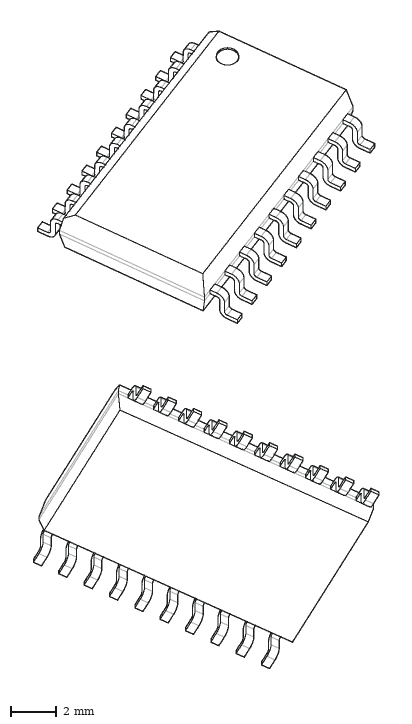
import cadquery as cq
import math

total_width = 10.3
total_height = 2.7
body_length = 12.8
body_width = 7.49

body_bottom = 0.2
draft_angle = 10.0
bevel_edge_x = -3.05
bevel_edge_z = 2.21

mark_radius = 0.5
mark_depth = 0.1
mark_x = -1.97
mark_y = 5.12

leads_per_side = 10
lead_row_span = 11.43
lead_width = 0.41
lead_thickness = 0.25
lead_top = 1.45
leg_outer_x = 4.49
inner_bend_radius = 0.14
lead_embed = 0.51

lead_pitch = lead_row_span / (leads_per_side - 1)
lead_bottom = lead_top - lead_thickness
leg_inner_x = leg_outer_x - lead_thickness
outer_bend_radius = inner_bend_radius + lead_thickness
tip_x = total_width / 2
lead_root_x = body_width / 2 - lead_embed


def make_body():
    """Straight parting band with a drafted half above and below it, bevelled along -X."""

    def parting_outline(z):
        return cq.Workplane("XY").workplane(offset=z).rect(body_width, body_length)

    band = parting_outline(lead_bottom).extrude(lead_thickness)
    upper = parting_outline(lead_top).extrude(total_height - lead_top, taper=draft_angle)
    lower = parting_outline(lead_bottom).extrude(body_bottom - lead_bottom, taper=draft_angle)
    body = band.union(upper).union(lower)

    draft_inset = (bevel_edge_z - lead_top) * math.tan(math.radians(draft_angle))
    side_x = draft_inset - body_width / 2
    slope = (total_height - bevel_edge_z) / (bevel_edge_x - side_x)
    corner_x = -body_width / 2
    corner_z = bevel_edge_z - slope * (side_x - corner_x)
    bevel = (
        cq.Workplane("XZ")
        .moveTo(corner_x, corner_z)
        .lineTo(bevel_edge_x, total_height)
        .lineTo(corner_x, total_height)
        .close()
        .extrude(body_length / 2, both=True)
    )
    return body.cut(bevel)


def cut_mark(body):
    """Sink the orientation mark into the top face."""
    mark = (
        cq.Workplane("XY")
        .workplane(offset=total_height - mark_depth)
        .center(mark_x, mark_y)
        .circle(mark_radius)
        .extrude(mark_depth)
    )
    return body.cut(mark)


def make_lead(y):
    """One +X lead centred at y: shoulder, leg and foot joined by concentric bends."""
    shoulder_x = leg_outer_x - outer_bend_radius
    shoulder_z = lead_top - outer_bend_radius
    foot_x = leg_outer_x + inner_bend_radius
    foot_z = outer_bend_radius
    return (
        cq.Workplane("XZ", origin=(0, y, 0))
        .moveTo(lead_root_x, lead_top)
        .lineTo(shoulder_x, lead_top)
        .radiusArc((leg_outer_x, shoulder_z), outer_bend_radius)
        .lineTo(leg_outer_x, foot_z)
        .radiusArc((foot_x, lead_thickness), -inner_bend_radius)
        .lineTo(tip_x, lead_thickness)
        .lineTo(tip_x, 0)
        .lineTo(foot_x, 0)
        .radiusArc((leg_inner_x, foot_z), outer_bend_radius)
        .lineTo(leg_inner_x, shoulder_z)
        .radiusArc((shoulder_x, lead_bottom), -inner_bend_radius)
        .lineTo(lead_root_x, lead_bottom)
        .close()
        .extrude(lead_width / 2, both=True)
    )


result = cut_mark(make_body())
for index in range(leads_per_side):
    lead_y = (index - (leads_per_side - 1) / 2) * lead_pitch
    lead = make_lead(lead_y)
    result = result.union(lead).union(lead.mirror("YZ"))